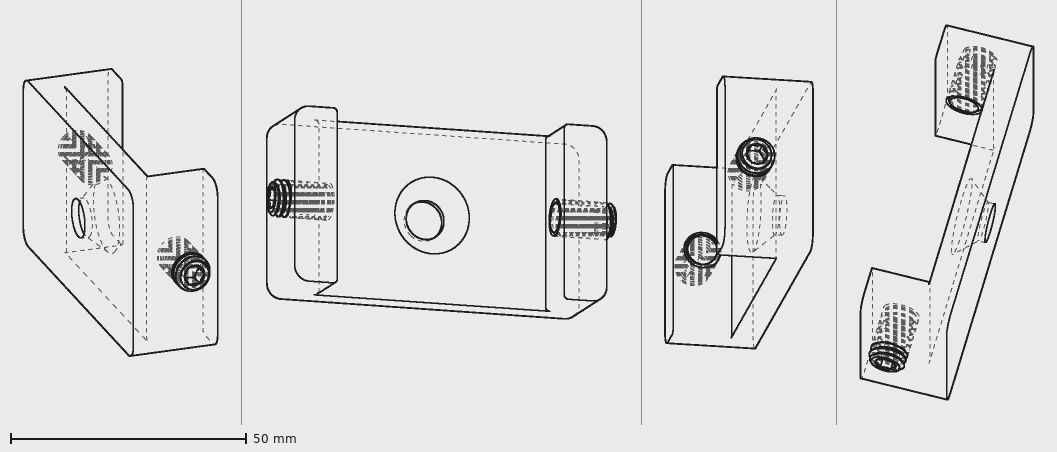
import cadquery as cq
import math

overall_length = 76.2
housing_length = 69.9
housing_depth = 19.05
housing_height = 38.1
plate_thickness = 6.3
wall_thickness = 9.5
outer_corner_radius = 3.2
wall_edge_radius = 0.9

hole_diameter = 8.45
hole_straight_depth = 1.6
countersink_angle = 82.0

screw_protrusion = (overall_length - housing_length) / 2
screw_length = wall_thickness + screw_protrusion
screw_diameter = 7.9
end_chamfer = 0.8
thread_pitch = 1.41
thread_depth = 0.85
thread_angle = 60.0
thread_crest_width = 0.19
first_crest = 0.1
ridge_sink = 0.1
ridge_overrun = 2 * thread_pitch
envelope_clearance = 0.8

socket_width = 4.0
socket_depth = 3.8
socket_entry_depth = 0.3
socket_tip_angle = 118.0

front_y = -housing_depth / 2
plate_back_y = front_y + plate_thickness
wall_depth = housing_depth - plate_thickness
screw_y = plate_back_y + wall_depth / 2
screw_radius = screw_diameter / 2
screw_core_radius = screw_radius - thread_depth
screw_end_x = overall_length / 2


def half_angle_slope(full_angle):
    """Radius gained per unit of depth in a cone with this full angle."""
    return math.tan(math.radians(full_angle / 2))


def make_u_block():
    block = (
        cq.Workplane("XY")
        .box(housing_length, housing_depth, housing_height)
        .edges("|Y")
        .fillet(outer_corner_radius)
    )
    opening_length = housing_length - 2 * wall_thickness
    opening = (
        cq.Workplane("XY")
        .box(opening_length, wall_depth, housing_height)
        .translate((0, screw_y, 0))
    )
    block = block.cut(opening)

    edge_margin = wall_edge_radius / 2
    inner_edges = cq.selectors.BoxSelector(
        (-opening_length / 2 - edge_margin, plate_back_y, -housing_height),
        (opening_length / 2 + edge_margin, housing_depth, housing_height),
    )
    return block.edges("|Y").edges(inner_edges).fillet(wall_edge_radius)


def make_plate_hole():
    """Straight hole that widens into a countersink, revolved about the Y axis."""
    hole_radius = hole_diameter / 2
    cone_depth = plate_thickness - hole_straight_depth
    mouth_radius = hole_radius + cone_depth * half_angle_slope(countersink_angle)
    cone_start_y = front_y + hole_straight_depth
    return (
        cq.Workplane("XY")
        .moveTo(0, front_y)
        .lineTo(hole_radius, front_y)
        .lineTo(hole_radius, cone_start_y)
        .lineTo(mouth_radius, plate_back_y)
        .lineTo(0, plate_back_y)
        .close()
        .revolve(360, (0, 0, 0), (0, 1, 0))
    )


def make_housing():
    screw_bore = (
        cq.Workplane("YZ", origin=(-housing_length / 2, screw_y, 0))
        .circle(screw_radius)
        .extrude(housing_length)
    )
    return make_u_block().cut(make_plate_hole()).cut(screw_bore)


def make_thread_ridge():
    """Helical ridge about the Z axis, running past both ends of the screw."""
    inner_radius = screw_core_radius - ridge_sink
    half_crest = thread_crest_width / 2
    half_base = half_crest + (screw_radius - inner_radius) * half_angle_slope(thread_angle)
    helix = cq.Wire.makeHelix(thread_pitch, screw_length + 2 * ridge_overrun, screw_radius)
    ridge = (
        cq.Workplane("XZ")
        .moveTo(inner_radius, -half_base)
        .lineTo(screw_radius, -half_crest)
        .lineTo(screw_radius, half_crest)
        .lineTo(inner_radius, half_base)
        .close()
        .sweep(cq.Workplane(helix), isFrenet=True)
    )
    return ridge.translate((0, 0, first_crest - ridge_overrun))


def make_thread():
    """Ridge trimmed to the screw length, tapering down at 45 degrees to each end face."""
    envelope = (
        cq.Workplane("XY")
        .circle(screw_radius + envelope_clearance)
        .extrude(screw_length)
        .faces("<Z or >Z")
        .chamfer(end_chamfer + envelope_clearance)
    )
    return make_thread_ridge().intersect(envelope)


def make_socket():
    corner_diameter = socket_width / math.cos(math.pi / 6)
    corner_radius = corner_diameter / 2
    tip_depth = corner_radius / half_angle_slope(socket_tip_angle)
    hexagon = cq.Workplane("XY").polygon(6, corner_diameter).extrude(socket_depth)
    entry = cq.Solid.makeCone(corner_radius, corner_radius - socket_entry_depth, socket_entry_depth)
    tip = cq.Solid.makeCone(corner_radius, 0, tip_depth, cq.Vector(0, 0, socket_depth))
    return hexagon.union(cq.Workplane(entry)).union(cq.Workplane(tip))


def make_screw():
    """Set screw along +Z, with its socket end at Z = 0."""
    core = cq.Workplane("XY").circle(screw_core_radius).extrude(screw_length)
    return core.union(make_thread()).cut(make_socket())


def make_screws():
    left_screw = (
        make_screw()
        .rotate((0, 0, 0), (0, 1, 0), 90)
        .rotate((0, 0, 0), (1, 0, 0), 90)
        .translate((-screw_end_x, screw_y, 0))
    )
    return [left_screw.rotate((0, 0, 0), (0, 1, 0), turn).val() for turn in (0, 180)]


housing = make_housing()
screws = make_screws()

result = cq.Compound.makeCompound([housing.val(), *screws])